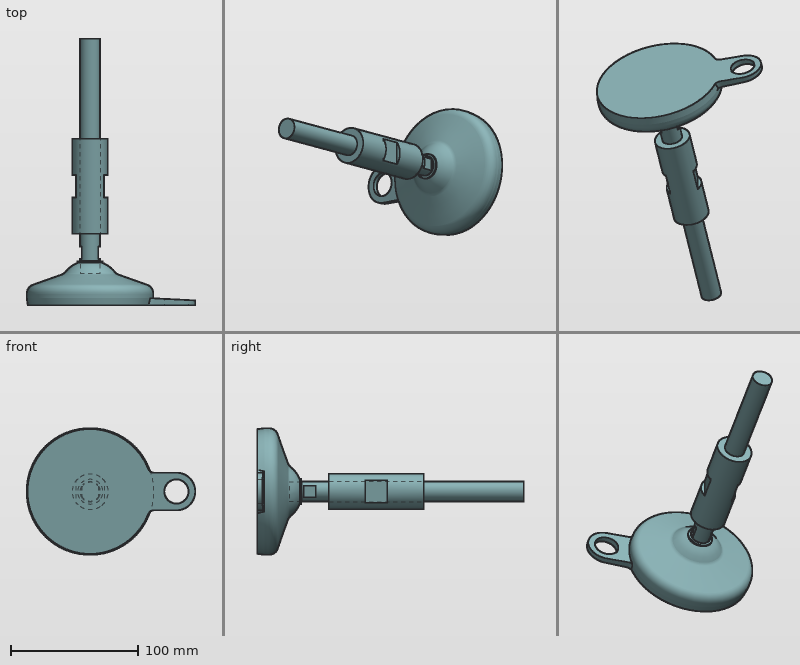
import cadquery as cq
import math

TOTAL_LENGTH = 210.0

DISC_RADIUS = 50.0
SOLE_RADIUS = 49.1
DRAFT_HEIGHT = 5.9
SHOULDER_START = 9.0
SHOULDER_RADIUS = 7.8
CONE_ANGLE = 19.5
CONE_TOP_RADIUS = 22.3
DOME_BASE_RADIUS = 20.2
DOME_BASE_HEIGHT = 25.6
DOME_SPHERE_RADIUS = 25.5
RIM_RADIUS = 9.9
RIM_TOP = 34.6

EYELET_X = 68.0
EYELET_RADIUS = 15.0
EYELET_HOLE_RADIUS = 9.5
EYELET_FILLET = 5.0
EYELET_TIP_THICKNESS = 4.0

STEM_RADIUS = 8.0
STEM_SHOULDER = 35.3
SPIGOT_RADIUS = 7.5
SPIGOT_BOTTOM = 25.2
STEM_FLAT_START = 36.5
STEM_FLAT_LENGTH = 9.7
STEM_ACROSS_FLATS = 13.0

SLEEVE_RADIUS = 14.0
SLEEVE_START = 56.3
SLEEVE_LENGTH = 75.0
SLEEVE_FLAT_LENGTH = 17.5
SLEEVE_ACROSS_FLATS = 22.0


def cylinder(radius, start, length):
    """Cylinder along +Y beginning at Y = start."""
    return cq.Workplane("XZ", origin=(0, start, 0)).circle(radius).extrude(-length)


def cut_wrench_flats(body, radius, across, start, length):
    """Cut two parallel flats facing -X and +X."""
    flat_offset = across / 2
    for side in (-1, 1):
        block = (
            cq.Workplane("XY")
            .box(radius, length, 2 * radius)
            .translate((side * (flat_offset + radius / 2), start + length / 2, 0))
        )
        body = body.cut(block)
    return body


def make_disc():
    """Revolve the disc, its rounded shoulder, cone, dome and rim."""
    slope = math.radians(CONE_ANGLE)
    normal = math.pi / 2 - slope
    shoulder_x = DISC_RADIUS - SHOULDER_RADIUS

    def shoulder_point(angle):
        return (
            shoulder_x + SHOULDER_RADIUS * math.cos(angle),
            SHOULDER_START + SHOULDER_RADIUS * math.sin(angle),
        )

    cone_base = shoulder_point(normal)
    cone_top = (
        CONE_TOP_RADIUS,
        cone_base[1] + (cone_base[0] - CONE_TOP_RADIUS) * math.tan(slope),
    )

    dome_centre = DOME_BASE_HEIGHT - math.sqrt(DOME_SPHERE_RADIUS**2 - DOME_BASE_RADIUS**2)

    def dome_point(radius):
        return radius, dome_centre + math.sqrt(DOME_SPHERE_RADIUS**2 - radius**2)

    return (
        cq.Workplane("XY")
        .lineTo(SOLE_RADIUS, 0)
        .lineTo(DISC_RADIUS, DRAFT_HEIGHT)
        .lineTo(DISC_RADIUS, SHOULDER_START)
        .threePointArc(shoulder_point(normal / 2), cone_base)
        .lineTo(*cone_top)
        .tangentArcPoint((DOME_BASE_RADIUS, DOME_BASE_HEIGHT), relative=False)
        .threePointArc(dome_point((DOME_BASE_RADIUS + RIM_RADIUS) / 2), dome_point(RIM_RADIUS))
        .lineTo(RIM_RADIUS, RIM_TOP)
        .lineTo(0, RIM_TOP)
        .close()
        .revolve(360, (0, 0, 0), (0, 1, 0))
    )


def make_eyelet():
    """Tab with filleted roots and a top face that slopes down to its tip."""
    fillet_z = EYELET_RADIUS + EYELET_FILLET
    fillet_x = math.sqrt((SOLE_RADIUS + EYELET_FILLET) ** 2 - fillet_z**2)
    contact_angle = math.atan2(fillet_z, fillet_x)
    contact_x = SOLE_RADIUS * math.cos(contact_angle)
    contact_z = SOLE_RADIUS * math.sin(contact_angle)
    middle_angle = (contact_angle - math.pi / 2) / 2
    middle_x = fillet_x + EYELET_FILLET * math.sin(middle_angle)
    middle_z = fillet_z - EYELET_FILLET * math.cos(middle_angle)
    tip_x = EYELET_X + EYELET_RADIUS

    outline = (
        cq.Workplane("XZ")
        .moveTo(0, contact_z)
        .lineTo(contact_x, contact_z)
        .threePointArc((middle_x, middle_z), (fillet_x, EYELET_RADIUS))
        .lineTo(EYELET_X, EYELET_RADIUS)
        .threePointArc((tip_x, 0), (EYELET_X, -EYELET_RADIUS))
        .lineTo(fillet_x, -EYELET_RADIUS)
        .threePointArc((middle_x, -middle_z), (contact_x, -contact_z))
        .lineTo(0, -contact_z)
        .close()
        .extrude(-DRAFT_HEIGHT)
    )
    sloped_wedge = (
        cq.Workplane("XY")
        .lineTo(tip_x, 0)
        .lineTo(tip_x, EYELET_TIP_THICKNESS)
        .lineTo(contact_x, DRAFT_HEIGHT)
        .lineTo(0, DRAFT_HEIGHT)
        .close()
        .extrude(contact_z, both=True)
    )
    hole = cylinder(EYELET_HOLE_RADIUS, 0, DRAFT_HEIGHT).translate((EYELET_X, 0, 0))
    return outline.intersect(sloped_wedge).cut(hole)


def make_stem():
    """Round stem with two flats and a reduced spigot seated in the foot."""
    stem = (
        cq.Workplane("XY")
        .moveTo(0, SPIGOT_BOTTOM)
        .lineTo(SPIGOT_RADIUS, SPIGOT_BOTTOM)
        .lineTo(SPIGOT_RADIUS, RIM_TOP)
        .lineTo(STEM_RADIUS, STEM_SHOULDER)
        .lineTo(STEM_RADIUS, TOTAL_LENGTH)
        .lineTo(0, TOTAL_LENGTH)
        .close()
        .revolve(360, (0, 0, 0), (0, 1, 0))
    )
    return cut_wrench_flats(stem, STEM_RADIUS, STEM_ACROSS_FLATS, STEM_FLAT_START, STEM_FLAT_LENGTH)


def make_foot():
    """Disc and eyelet in one piece, with a blind socket for the stem."""
    socket = cylinder(SPIGOT_RADIUS, SPIGOT_BOTTOM, RIM_TOP - SPIGOT_BOTTOM)
    return make_disc().union(make_eyelet()).cut(socket)


def make_sleeve():
    """Sleeve bored to fit the stem, with two flats at mid-length."""
    sleeve = cylinder(SLEEVE_RADIUS, SLEEVE_START, SLEEVE_LENGTH)
    sleeve = sleeve.cut(cylinder(STEM_RADIUS, SLEEVE_START, SLEEVE_LENGTH))
    flat_start = SLEEVE_START + (SLEEVE_LENGTH - SLEEVE_FLAT_LENGTH) / 2
    return cut_wrench_flats(sleeve, SLEEVE_RADIUS, SLEEVE_ACROSS_FLATS, flat_start, SLEEVE_FLAT_LENGTH)


foot = make_foot()
stem = make_stem()
sleeve = make_sleeve()

result = cq.Compound.makeCompound([foot.val(), stem.val(), sleeve.val()])